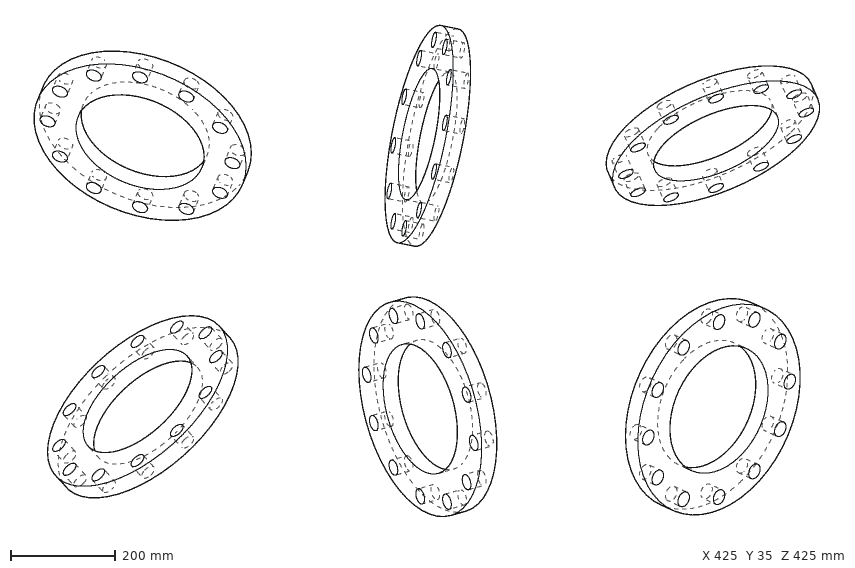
import cadquery as cq

outer_diameter = 425.0
bore_diameter = 256.5
thickness = 35.0

bolt_circle_diameter = 370.0
bolt_hole_diameter = 30.0
bolt_hole_count = 12


def front_plane():
    """Sketch plane on the -Y face; its normal points toward -Y."""
    return cq.Workplane("XZ", origin=(0, -thickness / 2, 0))


def ring_body():
    """Plain ring, centred on the origin."""
    return (
        front_plane()
        .circle(outer_diameter / 2)
        .circle(bore_diameter / 2)
        .extrude(-thickness)
    )


def bolt_holes():
    """Cylinders that pass through the full thickness at each bolt position."""
    return (
        front_plane()
        .polarArray(bolt_circle_diameter / 2, 0, 360, bolt_hole_count)
        .circle(bolt_hole_diameter / 2)
        .extrude(-thickness)
    )


result = ring_body().cut(bolt_holes())